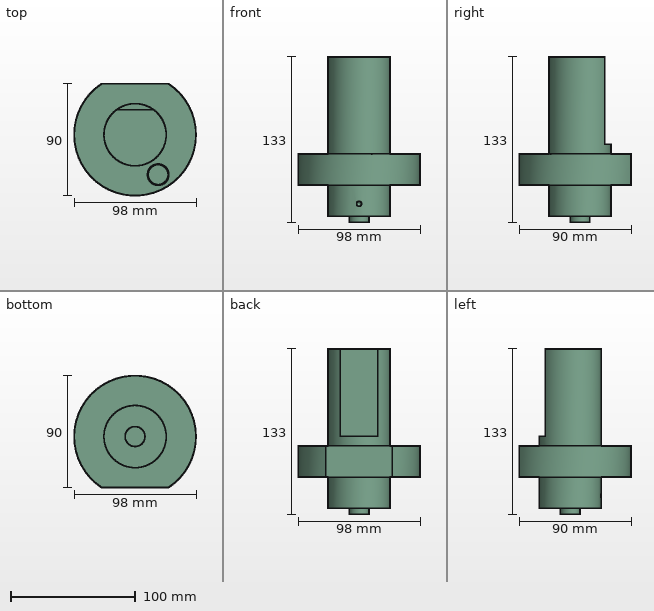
import cadquery as cq
import math

flange_diameter = 98.0
flange_thickness = 25.0
flange_flat_y = 41.0

shank_diameter = 49.99
shank_length = 78.0
shank_flat_y = 20.0
collar_height = 8.0

spigot_diameter = 50.0
spigot_length = 25.0
pin_diameter = 16.0
pin_length = 5.0

pocket_diameter = 16.01
pocket_depth = 7.5
chamfer_depth = 1.0
chamfer_angle = 30.0
pocket_pitch_radius = 37.0
pocket_angle = -60.0

spot_diameter = 4.0
spot_depth = 4.0
spot_point_angle = 120.0
spot_height_on_spigot = 10.0

spigot_bottom_z = pin_length
flange_bottom_z = spigot_bottom_z + spigot_length
flange_top_z = flange_bottom_z + flange_thickness
collar_top_z = flange_top_z + collar_height


def disc(diameter, bottom_z, height):
    """Upright cylinder on the part axis."""
    return cq.Workplane("XY").workplane(offset=bottom_z).circle(diameter / 2).extrude(height)


def cut_flat(body, diameter, flat_y, bottom_z, height):
    """Remove the segment of a round body that lies beyond flat_y."""
    segment_depth = diameter / 2 - flat_y
    segment = cq.Workplane("XY").box(diameter, segment_depth, height, centered=(True, False, False))
    return body.cut(segment.translate((0, flat_y, bottom_z)))


def make_flange():
    flange = disc(flange_diameter, flange_bottom_z, flange_thickness)
    return cut_flat(flange, flange_diameter, flange_flat_y, flange_bottom_z, flange_thickness)


def make_shank():
    shank = disc(shank_diameter, flange_top_z, shank_length)
    flat_length = shank_length - collar_height
    return cut_flat(shank, shank_diameter, shank_flat_y, collar_top_z, flat_length)


def make_pocket():
    """Pocket with a steep chamfer at its mouth, revolved about its own axis."""
    radius = pocket_diameter / 2
    mouth_radius = radius + chamfer_depth * math.tan(math.radians(chamfer_angle))
    angle = math.radians(pocket_angle)
    centre_x = pocket_pitch_radius * math.cos(angle)
    centre_y = pocket_pitch_radius * math.sin(angle)
    profile = (
        cq.Workplane("XZ")
        .moveTo(0, 0)
        .lineTo(mouth_radius, 0)
        .lineTo(radius, -chamfer_depth)
        .lineTo(radius, -pocket_depth)
        .lineTo(0, -pocket_depth)
        .close()
    )
    pocket = profile.revolve(360, (0, 0, 0), (0, 1, 0))
    return pocket.translate((centre_x, centre_y, flange_top_z))


def make_drill_spot():
    """Blind drilled hole with a conical end, running along +Y into the spigot."""
    radius = spot_diameter / 2
    point_length = radius / math.tan(math.radians(spot_point_angle / 2))
    mouth_y = -spigot_diameter / 2
    profile = (
        cq.Workplane("XY")
        .moveTo(0, mouth_y)
        .lineTo(radius, mouth_y)
        .lineTo(radius, mouth_y + spot_depth)
        .lineTo(0, mouth_y + spot_depth + point_length)
        .close()
    )
    spot = profile.revolve(360, (0, 0, 0), (0, 1, 0))
    return spot.translate((0, 0, spigot_bottom_z + spot_height_on_spigot))


pin = disc(pin_diameter, 0, pin_length)
spigot = disc(spigot_diameter, spigot_bottom_z, spigot_length)

body = pin.union(spigot).union(make_flange()).union(make_shank())
result = body.cut(make_pocket()).cut(make_drill_spot())